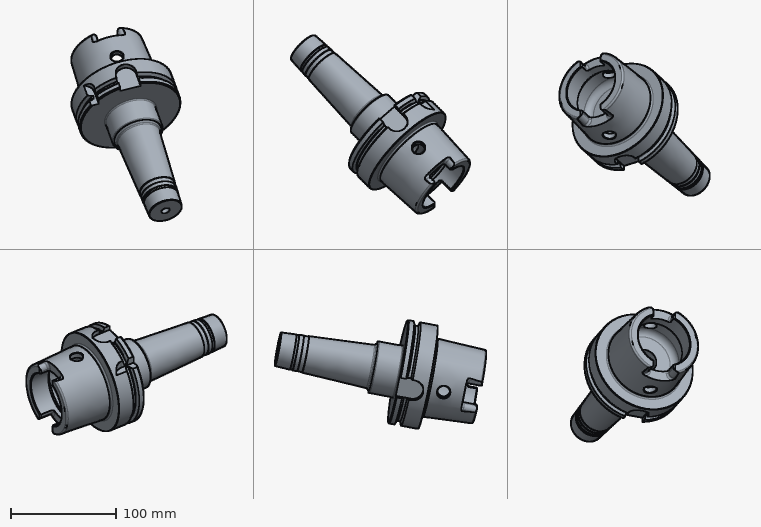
import cadquery as cq
import math


SHANK_LENGTH = 50.0
SHANK_FACE_DIA = 76.0
SHANK_TAPER = 0.1
SHANK_END_ROUND = 1.8
RELIEF_DIA = 75.42
RELIEF_START = -2.4
RELIEF_FILLET = 1.4

FLANGE_DIA = 100.0
FLANGE_WIDTH = 29.0
FLANGE_FRONT_CHAMFER = 0.4
FLANGE_REAR_CHAMFER = 1.0
GRIP_CENTRE = 19.8
GRIP_OUTER_WIDTH = 6.6
GRIP_BOTTOM_WIDTH = 3.2
GRIP_BOTTOM_DIA = 92.2
GRIP_REAR_FILLET = 0.6

NECK_DIA = 50.0
NECK_ROOT_FILLET = 1.0
NECK_END = 53.0
NECK_END_ROUND = 1.0
NOSE_START_DIA = 42.0
NOSE_START = 56.0
SHOULDER_ANGLE = 45.0
NOSE_FILLET = 2.0
NOSE_END = 145.0
NOSE_ANGLE = 3.0
NOSE_END_CHAMFER = 0.5
NOSE_GROOVES = (
    (118.1, 123.3),
    (127.5, 130.4),
)
NOSE_GROOVE_DEPTH = 0.35

BORE_DIA = 53.0
BORE_MOUTH_CHAMFER = 0.7
BORE_LAND_LENGTH = 20.0
UNDERCUT_DIA = 63.0
UNDERCUT_ANGLE = 49.0
FLOOR_DIA = 50.0
BORE_FLOOR = -3.2
TUBE_SEAT_DIA = 22.38
TUBE_SEAT_DEPTH = 20.0
COOLANT_DIA = 8.0

ACCESS_DIA = 12.0
ACCESS_X = -15.3
ACCESS_CHAMFER = 0.5
ACCESS_EDGE_ZONE = 8.0

KEY_WIDTH = 20.0
KEY_LEDGE = 32.0
KEY_CORNER_RADIUS = 5.0
KEY_FLOOR_FILLET = 2.0
KEY_ENTRY_CHAMFER = 1.3
TOP_KEY_DEPTH = 10.0
BOTTOM_KEY_DEPTH = 15.0

RIM_SLOT_WIDTH = 20.0
RIM_SLOT_CENTRE = 14.5
RIM_SLOT_FLOOR = 44.0
NOTCH_OFFSET = 31.4

REACH = 60.0


def revolve_profile(profile):
    """Revolve an (x, radius) outline around the X axis."""
    return profile.close().revolve(360, (0, 0, 0), (1, 0, 0))


def shank_radius(x):
    return (SHANK_FACE_DIA + SHANK_TAPER * x) / 2


def nose_radius(x):
    return NOSE_START_DIA / 2 - (x - NOSE_START) * math.tan(math.radians(NOSE_ANGLE))


def make_shank():
    relief_radius = RELIEF_DIA / 2
    shank = revolve_profile(
        cq.Workplane("XY")
        .moveTo(-SHANK_LENGTH, 0)
        .lineTo(-SHANK_LENGTH, shank_radius(-SHANK_LENGTH))
        .lineTo(RELIEF_START, shank_radius(RELIEF_START))
        .lineTo(RELIEF_START, relief_radius)
        .lineTo(-RELIEF_FILLET, relief_radius)
        .radiusArc((0, relief_radius + RELIEF_FILLET), -RELIEF_FILLET)
        .lineTo(0, 0)
    )
    end_rim = cq.selectors.NearestToPointSelector((-SHANK_LENGTH, 0, 0))
    return shank.edges(end_rim).fillet(SHANK_END_ROUND)


def make_flange():
    radius = FLANGE_DIA / 2
    bottom_radius = GRIP_BOTTOM_DIA / 2
    half_outer = GRIP_OUTER_WIDTH / 2
    half_bottom = GRIP_BOTTOM_WIDTH / 2
    flange = revolve_profile(
        cq.Workplane("XY")
        .moveTo(0, 0)
        .lineTo(0, radius - FLANGE_FRONT_CHAMFER)
        .lineTo(FLANGE_FRONT_CHAMFER, radius)
        .lineTo(GRIP_CENTRE - half_outer, radius)
        .lineTo(GRIP_CENTRE - half_bottom, bottom_radius)
        .lineTo(GRIP_CENTRE + half_bottom, bottom_radius)
        .lineTo(GRIP_CENTRE + half_outer, radius)
        .lineTo(FLANGE_WIDTH - FLANGE_REAR_CHAMFER, radius)
        .lineTo(FLANGE_WIDTH, radius - FLANGE_REAR_CHAMFER)
        .lineTo(FLANGE_WIDTH, 0)
    )
    rear_corner = cq.selectors.NearestToPointSelector((GRIP_CENTRE + half_bottom, 0, 0))
    return flange.edges(rear_corner).fillet(GRIP_REAR_FILLET)


def make_neck_and_nose():
    neck_radius = NECK_DIA / 2
    round_start = NECK_END - NECK_END_ROUND
    nose_lean = math.radians(NOSE_ANGLE)
    shoulder_slope = math.radians(SHOULDER_ANGLE)
    fillet_start = NOSE_START - NOSE_FILLET * (math.sin(shoulder_slope) - math.sin(nose_lean))
    fillet_rise = NOSE_FILLET * (math.cos(nose_lean) - math.cos(shoulder_slope))
    fillet_start_radius = NOSE_START_DIA / 2 + fillet_rise
    shoulder_rise = (fillet_start - NECK_END) * math.tan(shoulder_slope)
    chamfer_start = NOSE_END - NOSE_END_CHAMFER
    return revolve_profile(
        cq.Workplane("XY")
        .moveTo(FLANGE_WIDTH, 0)
        .lineTo(FLANGE_WIDTH, neck_radius + NECK_ROOT_FILLET)
        .radiusArc((FLANGE_WIDTH + NECK_ROOT_FILLET, neck_radius), -NECK_ROOT_FILLET)
        .lineTo(round_start, neck_radius)
        .radiusArc((NECK_END, neck_radius - NECK_END_ROUND), NECK_END_ROUND)
        .lineTo(NECK_END, fillet_start_radius + shoulder_rise)
        .lineTo(fillet_start, fillet_start_radius)
        .radiusArc((NOSE_START, NOSE_START_DIA / 2), -NOSE_FILLET)
        .lineTo(chamfer_start, nose_radius(chamfer_start))
        .lineTo(NOSE_END, nose_radius(chamfer_start) - NOSE_END_CHAMFER)
        .lineTo(NOSE_END, 0)
    )


def make_nose_groove(start, end):
    """Shallow ring groove whose bottom follows the nose cone and whose walls slope at 45 degrees."""
    bottom_start = start + NOSE_GROOVE_DEPTH
    bottom_end = end - NOSE_GROOVE_DEPTH
    return revolve_profile(
        cq.Workplane("XY")
        .moveTo(start, nose_radius(start))
        .lineTo(bottom_start, nose_radius(bottom_start) - NOSE_GROOVE_DEPTH)
        .lineTo(bottom_end, nose_radius(bottom_end) - NOSE_GROOVE_DEPTH)
        .lineTo(end, nose_radius(end))
        .lineTo(end, REACH)
        .lineTo(start, REACH)
    )


def make_bore():
    radius = BORE_DIA / 2
    undercut_radius = UNDERCUT_DIA / 2
    floor_fillet = undercut_radius - FLOOR_DIA / 2
    land_end = BORE_LAND_LENGTH - SHANK_LENGTH
    cone_length = (undercut_radius - radius) / math.tan(math.radians(UNDERCUT_ANGLE))
    seat_floor = BORE_FLOOR + TUBE_SEAT_DEPTH
    return revolve_profile(
        cq.Workplane("XY")
        .moveTo(-SHANK_LENGTH, 0)
        .lineTo(-SHANK_LENGTH, radius + BORE_MOUTH_CHAMFER)
        .lineTo(-SHANK_LENGTH + BORE_MOUTH_CHAMFER, radius)
        .lineTo(land_end, radius)
        .lineTo(land_end + cone_length, undercut_radius)
        .lineTo(BORE_FLOOR - floor_fillet, undercut_radius)
        .radiusArc((BORE_FLOOR, FLOOR_DIA / 2), floor_fillet)
        .lineTo(BORE_FLOOR, TUBE_SEAT_DIA / 2)
        .lineTo(seat_floor, TUBE_SEAT_DIA / 2)
        .lineTo(seat_floor, COOLANT_DIA / 2)
        .lineTo(NOSE_END, COOLANT_DIA / 2)
        .lineTo(NOSE_END, 0)
    )


def make_key_slot(depth):
    """Driving slot on the +Z side, flaring around the tang corners onto a ledge at each side."""
    half = KEY_WIDTH / 2
    arc_start_z = KEY_LEDGE - KEY_CORNER_RADIUS
    arc_end_y = half + KEY_CORNER_RADIUS
    slot = (
        cq.Workplane("YZ", origin=(-SHANK_LENGTH, 0, 0))
        .moveTo(-half, 0)
        .lineTo(half, 0)
        .lineTo(half, arc_start_z)
        .radiusArc((arc_end_y, KEY_LEDGE), KEY_CORNER_RADIUS)
        .lineTo(REACH, KEY_LEDGE)
        .lineTo(REACH, REACH)
        .lineTo(-REACH, REACH)
        .lineTo(-REACH, KEY_LEDGE)
        .lineTo(-arc_end_y, KEY_LEDGE)
        .radiusArc((-half, arc_start_z), KEY_CORNER_RADIUS)
        .close()
        .extrude(depth)
        .faces(">X")
        .edges()
        .fillet(KEY_FLOOR_FILLET)
    )
    entry = (
        cq.Workplane("XY")
        .moveTo(-SHANK_LENGTH, -half - KEY_ENTRY_CHAMFER)
        .lineTo(-SHANK_LENGTH + KEY_ENTRY_CHAMFER, -half)
        .lineTo(-SHANK_LENGTH + KEY_ENTRY_CHAMFER, half)
        .lineTo(-SHANK_LENGTH, half + KEY_ENTRY_CHAMFER)
        .close()
        .extrude(REACH)
    )
    return slot.union(entry)


def cut_access_hole(body):
    """Drill along Z through both shank walls and chamfer the two outer mouths."""
    body = body.cut(
        cq.Workplane("XY", origin=(ACCESS_X, 0, -REACH)).circle(ACCESS_DIA / 2).extrude(2 * REACH)
    )
    wall_middle = (shank_radius(ACCESS_X) + UNDERCUT_DIA / 2) / 2
    for inner_z, outer_z in ((wall_middle, REACH), (-REACH, -wall_middle)):
        mouth = cq.selectors.BoxSelector(
            (ACCESS_X - ACCESS_EDGE_ZONE, -ACCESS_EDGE_ZONE, inner_z),
            (ACCESS_X + ACCESS_EDGE_ZONE, ACCESS_EDGE_ZONE, outer_z),
            boundingbox=True,
        )
        body = body.edges(mouth).chamfer(ACCESS_CHAMFER)
    return body


def make_rim_slot(centre_y, floor_z):
    """Slot along X, open at the rear of the flange, with a round end and a flat floor facing +Z."""
    half = RIM_SLOT_WIDTH / 2
    return (
        cq.Workplane("XY", origin=(0, centre_y, floor_z))
        .moveTo(REACH, -half)
        .lineTo(RIM_SLOT_CENTRE, -half)
        .threePointArc((RIM_SLOT_CENTRE - half, 0), (RIM_SLOT_CENTRE, half))
        .lineTo(REACH, half)
        .close()
        .extrude(REACH)
    )


def turn_over(body):
    return body.rotate((0, 0, 0), (1, 0, 0), 180)


result = make_shank().union(make_flange()).union(make_neck_and_nose())
for groove_start, groove_end in NOSE_GROOVES:
    result = result.cut(make_nose_groove(groove_start, groove_end))
result = result.cut(make_bore())
result = cut_access_hole(result)
result = result.cut(make_key_slot(TOP_KEY_DEPTH))
result = result.cut(turn_over(make_key_slot(BOTTOM_KEY_DEPTH)))

top_slot = make_rim_slot(0, RIM_SLOT_FLOOR)
result = result.cut(top_slot)
result = result.cut(turn_over(top_slot))
result = result.cut(make_rim_slot(-NOTCH_OFFSET - RIM_SLOT_WIDTH / 2, NOTCH_OFFSET))